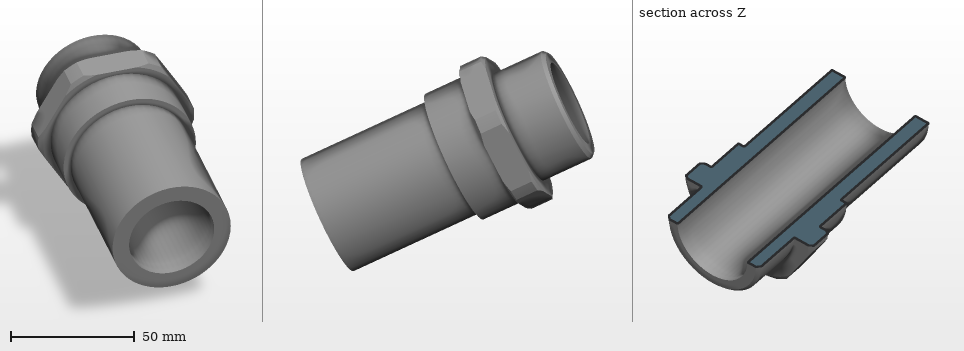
import cadquery as cq
import math

thread_length = 23.0
hex_width = 11.5
collar_length = 17.5
tube_length = 57.0

thread_diameter = 47.8
collar_diameter = 56.0
tube_diameter = 50.0
bore_diameter = 36.0
hex_sides = 6
across_flats = 60.0
hex_corner_diameter = 66.0

thread_chamfer = 1.5
hex_face_diameter = 62.3
hex_chamfer_angle = math.radians(30)
hex_chamfer_length = (hex_corner_diameter - hex_face_diameter) / 2 * math.tan(hex_chamfer_angle)

full_turn = 360

hex_start = thread_length
collar_start = hex_start + hex_width
tube_start = collar_start + collar_length
total_length = tube_start + tube_length


def cylinder(start, length, diameter):
    """Solid cylinder along +X from the given start position."""
    return cq.Workplane("YZ", origin=(start, 0, 0)).circle(diameter / 2).extrude(length)


def threaded_end():
    return cylinder(0, thread_length, thread_diameter).faces("<X").chamfer(thread_chamfer)


def hexagon():
    """Hexagon with flats facing +Z and -Z, its corners turned round and chamfered."""
    circumscribed_diameter = across_flats / math.cos(math.pi / hex_sides)
    prism = (
        cq.Workplane("YZ", origin=(hex_start, 0, 0))
        .polygon(hex_sides, circumscribed_diameter)
        .extrude(hex_width)
    )
    face_radius = hex_face_diameter / 2
    corner_radius = hex_corner_diameter / 2
    hex_end = hex_start + hex_width
    turned_envelope = (
        cq.Workplane("XY")
        .moveTo(hex_start, 0)
        .lineTo(hex_start, face_radius)
        .lineTo(hex_start + hex_chamfer_length, corner_radius)
        .lineTo(hex_end - hex_chamfer_length, corner_radius)
        .lineTo(hex_end, face_radius)
        .lineTo(hex_end, 0)
        .close()
        .revolve(full_turn, (0, 0, 0), (1, 0, 0))
    )
    return prism.intersect(turned_envelope)


collar = cylinder(collar_start, collar_length, collar_diameter)
tube = cylinder(tube_start, tube_length, tube_diameter)
bore = cylinder(0, total_length, bore_diameter)

result = threaded_end().union(hexagon()).union(collar).union(tube).cut(bore)